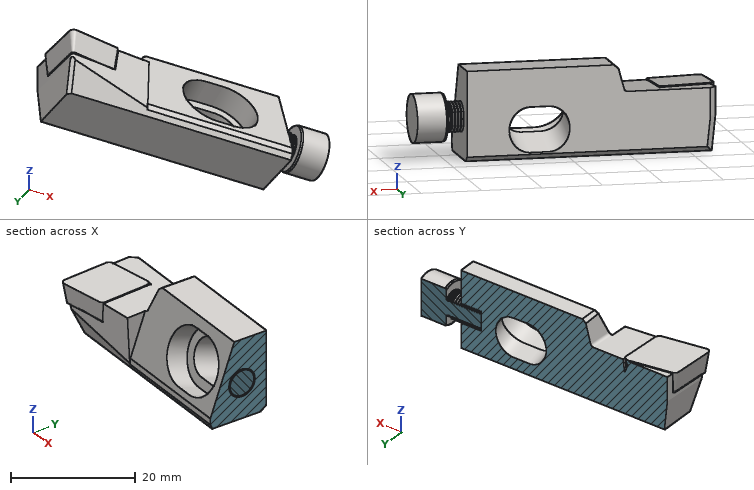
import cadquery as cq
import math



def tan(degrees):
    return math.tan(math.radians(degrees))


SHANK_START = 15.44
SHANK_END = 42.0
SHANK_HEIGHT = 15.0
SHANK_DEPTH = 11.0
FRONT_TILT = 20.0
FRONT_FOOT_HEIGHT = 2.15
BACK_CHAMFER_DEPTH = 1.1
BACK_CHAMFER_HEIGHT = 0.9

SLOT_X = 30.0
SLOT_HEIGHT = 8.15
SLOT_STRAIGHT = 3.0
SLOT_WIDTH = 7.0
RECESS_WIDTH = 10.5
RECESS_DEPTH = 4.2

HEAD_TILT = 3.0
HEAD_TOP = 10.55
HEAD_FRONT_X = 0.64
HEAD_SIDE_Y = -11.6
HEAD_SIDE_ANGLE = 6.0
HEAD_BACK_CHAMFER = 1.1
HEAD_CORNER_RADIUS = 0.6

RELIEF_FRONT_START = 4.65
RELIEF_FRONT_ANGLE = 6.0
RELIEF_SIDE_Y = -14.95
RELIEF_SIDE_ANGLE = 21.1
RELIEF_CORNER_CHAMFER = 0.6

WALL_ANGLE = 15.0
WALL_FILLET = 0.6
WALL_CHAMFER_HEIGHT = 0.65
WALL_CHAMFER_LENGTH = 0.75

TIP_WIDTH = 9.525
TIP_THICKNESS = 3.97
TIP_SKEW = 10.0
TIP_CLEARANCE = 7.0
TIP_CORNER_RADIUS = 0.8
TIP_NOSE_Y = -14.16
SEAT_EXTENSION = 3.0
TIP_RISE = 0.2

SCREW_Y = -4.77
SCREW_Z = 6.72
THREAD_DIAMETER = 5.0
THREAD_ROOT_DIAMETER = 4.4
THREAD_PITCH = 0.5
THREAD_TURNS = 12
NECK_DIAMETER = 4.6
THREAD_END = 44.0
THREAD_START = THREAD_END - THREAD_TURNS * THREAD_PITCH
SCREW_HEAD_START = 44.9
SCREW_HEAD_END = 50.0
SCREW_HEAD_DIAMETER = 8.0
SCREW_HEAD_CHAMFER_LENGTH = 0.3
SCREW_HEAD_CHAMFER_DEPTH = 0.15

CLEAR = 20.0


def head_plane(rise=0.0):
    """Plane of the head's top, raised square to itself by `rise`."""
    tilt = math.radians(HEAD_TILT)
    plane = cq.Plane(
        origin=(0, 0, HEAD_TOP),
        xDir=(1, 0, 0),
        normal=(0, -math.sin(tilt), math.cos(tilt)),
    )
    return cq.Workplane(plane).workplane(offset=rise)


def make_shank():
    top_depth = SHANK_DEPTH - (SHANK_HEIGHT - FRONT_FOOT_HEIGHT) * tan(FRONT_TILT)
    profile = [
        (0, 0),
        (0, SHANK_HEIGHT),
        (-top_depth, SHANK_HEIGHT),
        (-SHANK_DEPTH, FRONT_FOOT_HEIGHT),
        (-SHANK_DEPTH, 0),
    ]
    shank = cq.Workplane("YZ", origin=(SHANK_START, 0, 0)).polyline(profile).close()
    return shank.extrude(SHANK_END - SHANK_START)


def make_step_cutter():
    """Space above the head, bounded by the filleted wall and running along the tilted plane."""
    half_arc_angle = (90 - WALL_ANGLE) / 2
    fillet_end_x = SHANK_START + WALL_FILLET * math.cos(math.radians(WALL_ANGLE))
    fillet_end_z = WALL_FILLET * (1 - math.sin(math.radians(WALL_ANGLE)))
    fillet_mid_x = SHANK_START + WALL_FILLET * math.sin(math.radians(half_arc_angle))
    fillet_mid_z = WALL_FILLET * (1 - math.cos(math.radians(half_arc_angle)))
    wall_top_x = fillet_end_x + (CLEAR - fillet_end_z) * tan(WALL_ANGLE)
    top = head_plane().plane
    side = cq.Workplane(cq.Plane(top.origin, top.xDir, -top.yDir)).moveTo(0, 0).lineTo(SHANK_START, 0)
    side = side.threePointArc((fillet_mid_x, fillet_mid_z), (fillet_end_x, fillet_end_z))
    side = side.lineTo(wall_top_x, CLEAR).lineTo(0, CLEAR).close()
    return side.extrude(CLEAR, both=True)


def make_wall_chamfer_cutter():
    """Wedge that breaks the top edge of the wall."""
    foot_x = SHANK_START + WALL_FILLET * tan((90 - WALL_ANGLE) / 2)
    chamfer_z = SHANK_HEIGHT - WALL_CHAMFER_HEIGHT
    chamfer_x = foot_x + (chamfer_z - HEAD_TOP) * tan(WALL_ANGLE)
    wedge = [
        (chamfer_x, chamfer_z),
        (chamfer_x + WALL_CHAMFER_LENGTH, SHANK_HEIGHT),
        (SHANK_START, SHANK_HEIGHT),
        (SHANK_START, chamfer_z),
    ]
    return cq.Workplane("XZ").polyline(wedge).close().extrude(CLEAR, both=True)


def make_head():
    front_y = HEAD_SIDE_Y - (SHANK_START - HEAD_FRONT_X) * tan(HEAD_SIDE_ANGLE)
    outline = [
        (HEAD_FRONT_X, front_y),
        (SHANK_START, HEAD_SIDE_Y),
        (SHANK_START, CLEAR),
        (HEAD_FRONT_X, CLEAR),
    ]
    head = head_plane().polyline(outline).close().extrude(-CLEAR)
    upright_edges = head.edges(cq.selectors.ParallelDirSelector(head_plane().plane.zDir))
    corner_edge = upright_edges.edges(cq.NearestToPointSelector((HEAD_FRONT_X, front_y, 0)))
    return corner_edge.fillet(HEAD_CORNER_RADIUS)


def make_relief_envelope():
    """Slanted column whose front and side faces are the relief faces under the head and shank."""

    def section(depth):
        front_x = HEAD_FRONT_X + (depth - RELIEF_FRONT_START) * tan(RELIEF_FRONT_ANGLE)
        side_y = RELIEF_SIDE_Y + depth * tan(RELIEF_SIDE_ANGLE)
        back_y = -depth * tan(HEAD_TILT)
        outline = head_plane(-depth).moveTo(front_x + RELIEF_CORNER_CHAMFER, side_y)
        outline = outline.lineTo(SHANK_END + CLEAR, side_y)
        outline = outline.lineTo(SHANK_END + CLEAR, back_y)
        outline = outline.lineTo(front_x + HEAD_BACK_CHAMFER, back_y)
        outline = outline.lineTo(front_x, back_y - HEAD_BACK_CHAMFER)
        outline = outline.lineTo(front_x, side_y + RELIEF_CORNER_CHAMFER)
        return outline.close().wire().val()

    return cq.Workplane(cq.Solid.makeLoft([section(CLEAR), section(-CLEAR)], True))


def make_back_trim():
    """Outline along X that trims the back face and chamfers its bottom edge."""
    profile = [
        (0, BACK_CHAMFER_HEIGHT),
        (0, CLEAR),
        (-CLEAR, CLEAR),
        (-CLEAR, 0),
        (-BACK_CHAMFER_DEPTH, 0),
    ]
    return cq.Workplane("YZ").polyline(profile).close().extrude(SHANK_END)


def tip_corners(front_extension=0.0):
    """Sharp corners of the tip's top, with its front side moved toward -Y by `front_extension`."""
    nose_y = TIP_NOSE_Y - front_extension
    back_y = TIP_NOSE_Y + TIP_WIDTH / math.cos(math.radians(TIP_SKEW))
    skew_rise = TIP_WIDTH * tan(TIP_SKEW)
    return [
        (0, nose_y),
        (TIP_WIDTH, nose_y + skew_rise),
        (TIP_WIDTH, back_y + skew_rise),
        (0, back_y),
    ]


def extrude_tip(outline):
    """Body below an outline on the tip's top, narrowing downward by the clearance angle."""
    return head_plane(TIP_RISE).placeSketch(outline).extrude(-TIP_THICKNESS, taper=TIP_CLEARANCE)


def make_tip():
    corners = tip_corners()
    outline = cq.Sketch().polygon(corners + corners[:1]).vertices().fillet(TIP_CORNER_RADIUS)
    return extrude_tip(outline)


def make_seat():
    """Space for the tip with sharp corners, open toward -Y."""
    corners = tip_corners(front_extension=SEAT_EXTENSION)
    return extrude_tip(cq.Sketch().polygon(corners + corners[:1]))


def make_slot():
    front_y = -SHANK_DEPTH + (SLOT_HEIGHT - FRONT_FOOT_HEIGHT) * tan(FRONT_TILT)
    tilt = math.radians(FRONT_TILT)
    face = cq.Plane(
        origin=(SLOT_X, front_y, SLOT_HEIGHT),
        xDir=(1, 0, 0),
        normal=(0, -math.cos(tilt), math.sin(tilt)),
    )
    through = cq.Workplane(face).slot2D(SLOT_STRAIGHT + SLOT_WIDTH, SLOT_WIDTH).extrude(-CLEAR)
    recess = cq.Workplane(face).slot2D(SLOT_STRAIGHT + RECESS_WIDTH, RECESS_WIDTH)
    return through.union(recess.extrude(-RECESS_DEPTH))


def make_corner_cutter():
    """Wedge that chamfers the head's upright edge at the back."""
    wedge = [
        (0, 0),
        (HEAD_FRONT_X + HEAD_BACK_CHAMFER, 0),
        (HEAD_FRONT_X, -HEAD_BACK_CHAMFER),
        (0, -HEAD_BACK_CHAMFER),
    ]
    return cq.Workplane("XY").polyline(wedge).close().extrude(CLEAR)


def make_holder():
    holder = make_shank().cut(make_step_cutter()).cut(make_wall_chamfer_cutter())
    holder = holder.union(make_head())
    holder = holder.intersect(make_relief_envelope()).intersect(make_back_trim())
    holder = holder.cut(make_corner_cutter()).cut(make_slot())
    screw_hole = cq.Workplane("YZ", origin=(THREAD_START, SCREW_Y, SCREW_Z)).circle(THREAD_DIAMETER / 2)
    holder = holder.cut(screw_hole.extrude(CLEAR))
    return holder.cut(make_seat()).union(make_tip())


def make_screw():
    """Screw along X with ring-shaped thread grooves and one last, shallower groove in the neck."""
    half_pitch = THREAD_PITCH / 2
    head_radius = SCREW_HEAD_DIAMETER / 2
    outline = [(THREAD_START, 0)]
    for turn in range(THREAD_TURNS):
        groove_start = THREAD_START + turn * THREAD_PITCH
        outline.append((groove_start, THREAD_DIAMETER / 2))
        outline.append((groove_start + half_pitch, THREAD_ROOT_DIAMETER / 2))
    outline += [
        (THREAD_END, THREAD_DIAMETER / 2),
        (THREAD_END, NECK_DIAMETER / 2),
        (THREAD_END + half_pitch, NECK_DIAMETER / 2),
        (THREAD_END + THREAD_PITCH, THREAD_ROOT_DIAMETER / 2),
        (THREAD_END + THREAD_PITCH + half_pitch, NECK_DIAMETER / 2),
        (SCREW_HEAD_START, NECK_DIAMETER / 2),
        (SCREW_HEAD_START, head_radius - SCREW_HEAD_CHAMFER_DEPTH),
        (SCREW_HEAD_START + SCREW_HEAD_CHAMFER_LENGTH, head_radius),
        (SCREW_HEAD_END, head_radius),
        (SCREW_HEAD_END, 0),
    ]
    half = cq.Workplane("XY", origin=(0, SCREW_Y, SCREW_Z)).polyline(outline).close()
    return half.revolve(360, (0, 0, 0), (1, 0, 0))


holder = make_holder()
screw = make_screw()
result = cq.Compound.makeCompound([holder.val(), screw.val()])